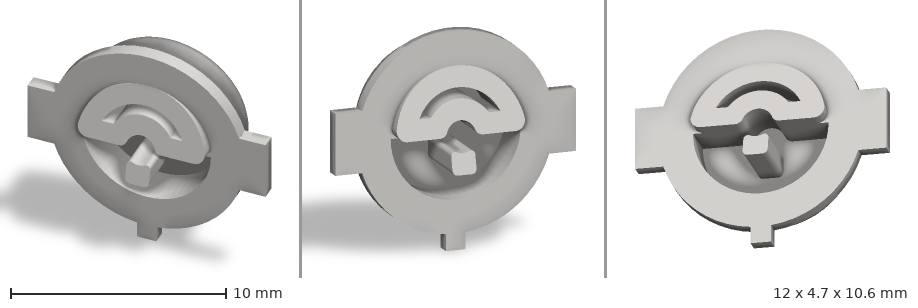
import cadquery as cq
import math

arm_span = 12.0
arm_height = 3.0
flange_radius = 4.9
flange_thickness = 0.7
tab_width = 0.98
tab_bottom = 5.69

cap_base_radius = 4.1
cap_rim_radius = 4.01
cap_apex_y = 3.5
cap_edge_height = 2.25
cap_edge_fillet = 0.48

pocket_radius = 3.24
pocket_depth = 2.0
boss_corner_radius = 0.5
boss_depth = 0.78
notch_radius = 0.75
notch_mouth_fillet = 0.4

slot_outer_radius = 2.25
slot_inner_radius = 1.74
slot_bottom_z = 0.97

pin_width = 1.2
pin_bottom_z = -1.74
pin_corner_radius = 0.25
pin_horn_radius = 0.2

front_limit = 1.8
pick_margin = 0.01


def prism(outline, front_y, back_y):
    """Extrude an XZ outline from front_y back to back_y."""
    return outline.extrude(front_y - back_y).translate((0, front_y, 0))


def disc(radius, front_y, back_y):
    return prism(cq.Workplane("XZ").circle(radius), front_y, back_y)


def block(width, bottom_z, top_z, front_y, back_y):
    outline = cq.Workplane("XZ").center(0, (bottom_z + top_z) / 2).rect(width, top_z - bottom_z)
    return prism(outline, front_y, back_y)


def make_flange():
    arms = block(arm_span, -arm_height / 2, arm_height / 2, 0, flange_thickness)
    tab = block(tab_width, -tab_bottom, 0, 0, flange_thickness)
    return disc(flange_radius, 0, flange_thickness).union(arms).union(tab)


def make_cap():
    edge_y = flange_thickness + cap_edge_height
    rise = cap_apex_y - edge_y
    dome_radius = (cap_rim_radius**2 + rise**2) / (2 * rise)
    mid_radius = cap_rim_radius / 2
    mid_y = cap_apex_y - dome_radius + math.sqrt(dome_radius**2 - mid_radius**2)
    cap = (
        cq.Workplane("XY")
        .moveTo(0, flange_thickness)
        .lineTo(cap_base_radius, flange_thickness)
        .lineTo(cap_rim_radius, edge_y)
        .threePointArc((mid_radius, mid_y), (0, cap_apex_y))
        .close()
        .revolve(360, (0, 0, 0), (0, 1, 0))
    )
    rim = cq.selectors.BoxSelector(
        (-flange_radius, edge_y - pick_margin, -flange_radius),
        (flange_radius, edge_y + pick_margin, flange_radius),
        boundingbox=True,
    )
    return cap.edges(rim).fillet(cap_edge_fillet)


def make_boss_blank():
    """Half disc with rounded lower corners and a round notch, from the front to the pocket floor."""
    blank = disc(pocket_radius, -front_limit, pocket_depth)
    blank = blank.intersect(block(arm_span, 0, pocket_radius, -front_limit, pocket_depth))
    blank = blank.edges("|Y").fillet(boss_corner_radius)
    blank = blank.cut(disc(notch_radius, -front_limit, pocket_depth))
    mouth = cq.selectors.BoxSelector(
        (-notch_radius - pick_margin, -front_limit - pick_margin, -pick_margin),
        (notch_radius + pick_margin, pocket_depth + pick_margin, pick_margin),
    )
    return blank.edges("|Y").edges(mouth).fillet(notch_mouth_fillet)


def make_pocket(boss_blank):
    """Lower half disc, plus the notch that reaches up into the boss."""
    lower = disc(pocket_radius, 0, pocket_depth)
    lower = lower.cut(block(arm_span, 0, pocket_radius, 0, pocket_depth))
    mouth_half_width = math.sqrt(notch_radius**2 + 2 * notch_radius * notch_mouth_fillet)
    notch = block(2 * mouth_half_width, 0, notch_radius, 0, pocket_depth).cut(boss_blank)
    return lower.union(notch)


def make_slot():
    ring = disc(slot_outer_radius, -front_limit, pocket_depth)
    ring = ring.cut(disc(slot_inner_radius, -front_limit, pocket_depth))
    return ring.intersect(block(arm_span, slot_bottom_z, pocket_radius, -front_limit, pocket_depth))


def make_pin():
    """Square pin with a top hollowed concentric to the notch."""
    pin = block(pin_width, pin_bottom_z, 0, -front_limit, pocket_depth)
    pin = pin.cut(disc(notch_radius, -front_limit, pocket_depth))
    pin = pin.edges("|Y and <Z").fillet(pin_corner_radius)
    return pin.edges("|Y and >Z").fillet(pin_horn_radius)


def make_slant_envelope():
    """Space behind the sloping plane that trims both the boss and the pin."""
    slope = boss_depth / pocket_radius
    low_y = -slope * (pocket_radius - pin_bottom_z)
    return (
        cq.Workplane("YZ")
        .moveTo(0, pocket_radius)
        .lineTo(low_y, pin_bottom_z)
        .lineTo(pocket_depth, pin_bottom_z)
        .lineTo(pocket_depth, pocket_radius)
        .close()
        .extrude(arm_span / 2, both=True)
    )


boss_blank = make_boss_blank()
slant_envelope = make_slant_envelope()
slot = make_slot()
boss = boss_blank.cut(slot).intersect(slant_envelope)
pin = make_pin().intersect(slant_envelope)

body = make_flange().union(make_cap()).cut(make_pocket(boss_blank)).cut(slot)
result = body.union(boss).union(pin)